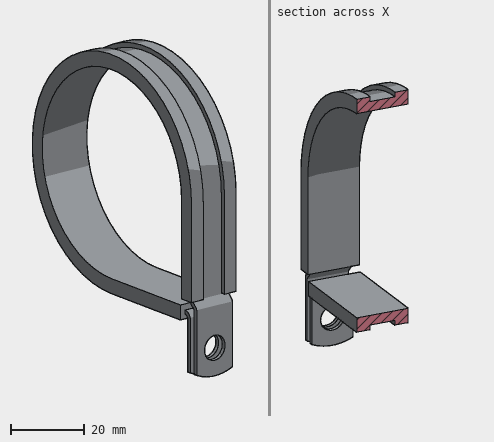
import cadquery as cq
import math


overall_height = 85.15

outer_radius = 34.4
cushion_thickness = 4.35
cushion_width = 15.75
groove_width = 7.5
groove_depth = 1.4
vertical_leg_end = -28.2
horizontal_leg_end = 29.6

strap_thickness = 1.2
strap_width = 12.6
strap_outer = outer_radius - groove_depth
strap_inner = strap_outer - strap_thickness
embed_length = 2.55
tab_end = outer_radius - overall_height
outer_tab_face = 34.8
joggle_lead = 0.4
joggle_start = vertical_leg_end - joggle_lead
joggle_angle = 45.0
bend_inner_radius = 0.85

hole_diameter = 7.15
hole_height = 8.1
tip_sagitta = 1.4


def loop_band(outside, inside, width):
    """Band between two radii, running along the loop and both straight legs."""
    outside_diagonal = outside * math.sqrt(0.5)
    inside_diagonal = inside * math.sqrt(0.5)
    return (
        cq.Workplane("XZ")
        .moveTo(horizontal_leg_end, -outside)
        .lineTo(0, -outside)
        .threePointArc((-outside_diagonal, outside_diagonal), (outside, 0))
        .lineTo(outside, vertical_leg_end)
        .lineTo(inside, vertical_leg_end)
        .lineTo(inside, 0)
        .threePointArc((-inside_diagonal, inside_diagonal), (0, -inside))
        .lineTo(horizontal_leg_end, -inside)
        .close()
        .extrude(width / 2, both=True)
    )


def bottom_strap_end():
    """Strap leaving the horizontal leg and turning a quarter circle down."""
    inner_face = horizontal_leg_end + strap_thickness
    outer_face = inner_face + strap_thickness
    bend_z = -strap_outer - strap_thickness
    embed_x = horizontal_leg_end - embed_length
    return (
        cq.Workplane("XZ")
        .moveTo(embed_x, -strap_inner)
        .lineTo(horizontal_leg_end, -strap_inner)
        .tangentArcPoint((outer_face, bend_z), relative=False)
        .lineTo(outer_face, tab_end)
        .lineTo(inner_face, tab_end)
        .lineTo(inner_face, bend_z)
        .tangentArcPoint((horizontal_leg_end, -strap_outer), relative=False)
        .lineTo(embed_x, -strap_outer)
        .close()
        .extrude(strap_width / 2, both=True)
    )


def round_corners(body, corners, radius):
    """Fillet the Y-running edges nearest to the given (x, z) corners."""
    for x, z in corners:
        body = body.edges(cq.selectors.NearestToPointSelector((x, 0, z))).fillet(radius)
    return body


def side_strap_end():
    """Strap leaving the vertical leg and stepping outward to the outer tab."""
    inner_tab_face = outer_tab_face - strap_thickness
    joggle_height = (outer_tab_face - strap_outer) / math.tan(math.radians(joggle_angle))
    miter_drop = strap_thickness * math.tan(math.radians(joggle_angle / 2))
    outer_top = (strap_outer, joggle_start)
    outer_bottom = (outer_tab_face, joggle_start - joggle_height)
    inner_top = (strap_inner, joggle_start - miter_drop)
    inner_bottom = (inner_tab_face, joggle_start - joggle_height - miter_drop)
    embed_z = vertical_leg_end + embed_length
    strap = (
        cq.Workplane("XZ")
        .moveTo(strap_inner, embed_z)
        .lineTo(strap_outer, embed_z)
        .lineTo(*outer_top)
        .lineTo(*outer_bottom)
        .lineTo(outer_tab_face, tab_end)
        .lineTo(inner_tab_face, tab_end)
        .lineTo(*inner_bottom)
        .lineTo(*inner_top)
        .close()
        .extrude(strap_width / 2, both=True)
    )
    strap = round_corners(strap, [outer_bottom, inner_top], bend_inner_radius + strap_thickness)
    return round_corners(strap, [outer_top, inner_bottom], bend_inner_radius)


def tab_outline():
    """Tab shape extruded along X: straight sides, arched tip and bolt hole."""
    half_width = strap_width / 2
    length = 2 * outer_radius
    blank = (
        cq.Workplane("YZ")
        .moveTo(-half_width, 0)
        .lineTo(-half_width, tab_end + tip_sagitta)
        .threePointArc((0, tab_end), (half_width, tab_end + tip_sagitta))
        .lineTo(half_width, 0)
        .close()
        .extrude(length)
    )
    hole = (
        cq.Workplane("YZ")
        .center(0, tab_end + hole_height)
        .circle(hole_diameter / 2)
        .extrude(length)
    )
    return blank.cut(hole)


cushion = loop_band(outer_radius, outer_radius - cushion_thickness, cushion_width)
groove = loop_band(outer_radius, strap_outer, groove_width)
strap_ends = bottom_strap_end().union(side_strap_end()).intersect(tab_outline())

result = cushion.cut(groove).union(strap_ends)